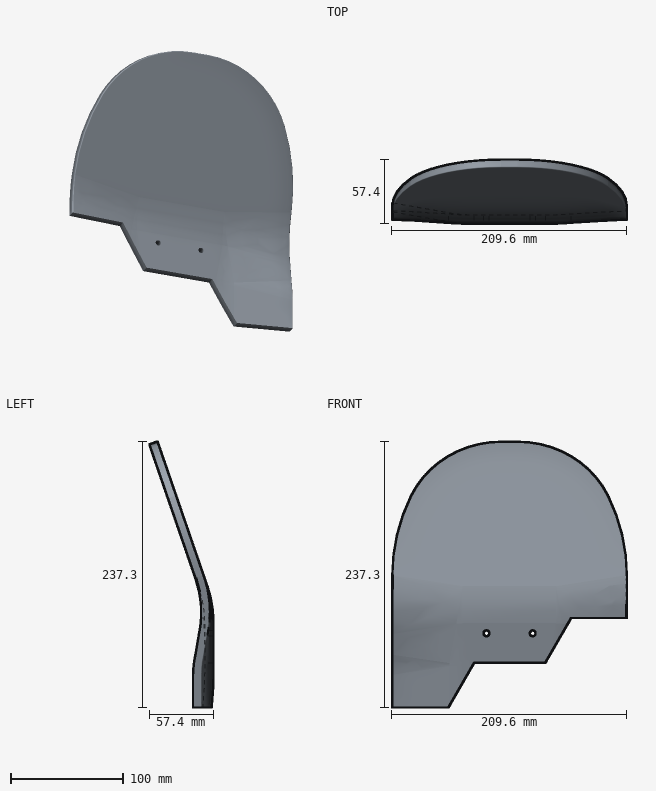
import cadquery as cq
import math


width = 209.55
height = 237.27
thickness = 7.9375
upper_tilt = math.radians(19)
wing_sweep = math.radians(10)
fold_height = 92.05
lower_fold_height = 38.1
wing_fold_x = 44.45
outer_bend = 101.6
inner_bend = outer_bend - thickness

dome_flat = 15.0
crown_radius = 88.9
shoulder_radius = 177.8
wing_bottom_width = 50.2
step_height = 39.9
mount_bottom_half = 31.9
right_bottom = 79.8
cut_angle = math.radians(60)
edge_radius = 0.8

hole_diameter = 5.0
hole_spacing = 41.275
hole_height = 66.3

half_width = width / 2
overhang = 20.0
sheet_half_width = half_width + overhang / 2
sheet_top = height + overhang
sheet_bottom = -overhang
cut_reach = 400.0
through_edge_margin = 0.3


def mirrored(point):
    """Reflect a point across the YZ plane."""
    return cq.Vector(-point.x, point.y, point.z)


def line(start, end):
    return cq.Edge.makeLine(start, end)


def flat_face(points):
    """Planar face through a closed loop of points."""
    return cq.Face.makeFromWires(cq.Wire.makePolygon(points, close=True))


class Skin:
    """One side of the sheet: its corner points, faces and outer rim (depth 0 is the front)."""

    def __init__(self, depth, convex_radius, concave_radius):
        self.depth = depth
        self.convex_radius = convex_radius
        self.concave_radius = concave_radius
        self.fold_z = fold_height - depth * math.tan(upper_tilt / 2)
        self.fold_x = wing_fold_x - depth * math.tan(wing_sweep / 2)
        self.wing_drop = self.fold_z - lower_fold_height
        self.faces = []
        self.rim = []
        self.add_points()
        self.add_center()
        self.add_side(lambda point: point)
        self.add_side(mirrored)

    def upper_y(self, z):
        return self.depth + (z - self.fold_z) * math.tan(upper_tilt)

    def setback(self, x):
        """How far the lower wing panel lies behind the mounting panel."""
        return max(x - self.fold_x, 0) * math.tan(wing_sweep)

    def slope(self, x):
        """Lean of the sloping wing, which grows towards the tip."""
        return math.atan(self.setback(x) / self.wing_drop)

    def upper_bend(self, x):
        """Upper and lower ends of the bend below the upper panel."""
        lean = self.slope(x)
        reach = self.convex_radius * math.tan((upper_tilt + lean) / 2)
        above_z = self.fold_z + reach * math.cos(upper_tilt)
        above = cq.Vector(x, self.upper_y(above_z), above_z)
        below = cq.Vector(x, self.depth + reach * math.sin(lean), self.fold_z - reach * math.cos(lean))
        return above, below

    def lower_bend(self, x):
        """Upper and lower ends of the bend above the lower wing panel."""
        lean = self.slope(x)
        reach = self.concave_radius * math.tan(lean / 2)
        y = self.depth + self.setback(x)
        above = cq.Vector(x, y - reach * math.sin(lean), lower_fold_height + reach * math.cos(lean))
        below = cq.Vector(x, y, lower_fold_height - reach)
        return above, below

    def wing_bottom(self, x):
        return cq.Vector(x, self.depth + self.setback(x), sheet_bottom)

    def add_points(self):
        """Lay out columns of points, listed from the upper panel down."""
        flat_top = self.upper_bend(0)[1].z
        narrow_sweep = math.atan(math.tan(wing_sweep) * (self.fold_z - flat_top) / self.wing_drop)
        narrow_reach = self.convex_radius * math.tan(narrow_sweep / 2)
        wide_reach = self.convex_radius * math.tan(wing_sweep / 2)
        upper_x = self.fold_x - narrow_reach
        lower_x = self.fold_x - wide_reach
        root_x = self.fold_x + wide_reach

        tip_x = sheet_half_width
        apex, flat_corner = self.upper_bend(upper_x)
        self.tip = [*self.upper_bend(tip_x), *self.lower_bend(tip_x), self.wing_bottom(tip_x)]
        self.root = [
            apex,
            self.upper_bend(self.fold_x + narrow_reach)[1],
            *self.lower_bend(root_x),
            self.wing_bottom(root_x),
        ]
        lower_z = self.root[3].z
        wing_line_slope = (self.tip[2].z - self.root[2].z) / (tip_x - root_x)
        upper_z = self.root[2].z + wing_line_slope * (root_x - lower_x)
        self.mount = [
            apex,
            flat_corner,
            cq.Vector(lower_x, self.depth, upper_z),
            cq.Vector(lower_x, self.depth, lower_z),
            cq.Vector(lower_x, self.depth, sheet_bottom),
        ]
        self.top_corner = cq.Vector(tip_x, self.upper_y(sheet_top), sheet_top)

    def bend_curve(self, above, below):
        """Arc leaving the upper panel and ending on the sheet below it."""
        drop = above.z - below.z
        lead = cq.Vector(below.x - above.x, -drop * math.tan(upper_tilt), -drop)
        return cq.Edge.makeTangentArc(above, lead, below)

    def add_center(self):
        """Upper panel, mounting panel and the bend between them."""
        left_mount = [mirrored(point) for point in self.mount]
        self.faces.append(
            flat_face(
                [
                    self.top_corner,
                    self.tip[0],
                    self.mount[0],
                    left_mount[0],
                    mirrored(self.tip[0]),
                    mirrored(self.top_corner),
                ]
            )
        )
        self.faces.append(
            cq.Face.makeRuledSurface(
                self.bend_curve(*self.mount[:2]),
                self.bend_curve(*left_mount[:2]),
            )
        )
        self.faces.append(flat_face(self.mount[1:] + left_mount[:0:-1]))
        self.rim.append(line(self.top_corner, mirrored(self.top_corner)))
        self.rim.append(line(self.mount[-1], left_mount[-1]))

    def add_side(self, place):
        """One wing, with its bend to the mounting panel; place puts points on that side."""
        tip = [place(point) for point in self.tip]
        root = [place(point) for point in self.root]
        mount = [place(point) for point in self.mount]

        def column(points, lower_curve):
            return [
                self.bend_curve(points[0], points[1]),
                line(points[1], points[2]),
                lower_curve,
                line(points[3], points[4]),
            ]

        tip_arc = cq.Edge.makeTangentArc(tip[3], cq.Vector(0, 0, 1), tip[2])
        tip_edges = column(tip, tip_arc)
        root_edges = column(root, line(root[3], root[2]))
        for tip_edge, root_edge in zip(tip_edges, root_edges):
            self.faces.append(cq.Face.makeRuledSurface(tip_edge, root_edge))

        self.faces.append(cq.Face.makeRuledSurface(root_edges[0], self.bend_curve(*mount[:2])))
        rungs = [line(mount[1], root[1])]
        for flat_end, wing_end in zip(mount[2:], root[2:]):
            lead = cq.Vector(wing_end.x - flat_end.x, 0, wing_end.z - flat_end.z)
            rungs.append(cq.Edge.makeTangentArc(flat_end, lead, wing_end))
        for upper_rung, lower_rung in zip(rungs, rungs[1:]):
            self.faces.append(cq.Face.makeRuledSurface(upper_rung, lower_rung))

        self.rim.append(line(place(self.top_corner), tip[0]))
        self.rim.extend(tip_edges)
        self.rim.append(line(tip[-1], root[-1]))
        self.rim.append(rungs[-1])


def bent_sheet():
    """Untrimmed sheet: front and back skins closed along their rims."""
    front = Skin(0, outer_bend, inner_bend)
    back = Skin(thickness, inner_bend, outer_bend)
    rim_faces = [cq.Face.makeRuledSurface(*edges) for edges in zip(front.rim, back.rim)]
    shell = cq.Shell.makeShell(front.faces + back.faces + rim_faces)
    return cq.Workplane(obj=cq.Solid.makeSolid(shell))


def mirror_u(point):
    return (-point[0], point[1])


def dome_blank():
    """Dome outline cut square to the upper panel."""
    rounding_loss = edge_radius * (math.sin(upper_tilt) + math.cos(upper_tilt) - 1)
    crown_v = (height + rounding_loss - fold_height) / math.cos(upper_tilt)
    crown_center = (dome_flat / 2, crown_v - crown_radius)
    shoulder_u = half_width - shoulder_radius
    radius_step = shoulder_radius - crown_radius
    turn = math.asin((crown_center[0] - shoulder_u) / radius_step)
    shoulder_v = crown_center[1] - radius_step * math.cos(turn)

    def crown_point(angle):
        return (
            crown_center[0] + crown_radius * math.sin(angle),
            crown_center[1] + crown_radius * math.cos(angle),
        )

    def shoulder_point(angle):
        return (
            shoulder_u + shoulder_radius * math.sin(angle),
            shoulder_v + shoulder_radius * math.cos(angle),
        )

    crown_middle = crown_point(turn / 2)
    crown_end = crown_point(turn)
    shoulder_middle = shoulder_point((turn + math.pi / 2) / 2)
    panel = cq.Plane(
        origin=(0, 0, fold_height),
        xDir=(1, 0, 0),
        normal=(0, -math.cos(upper_tilt), math.sin(upper_tilt)),
    )
    outline = (
        cq.Workplane(panel)
        .moveTo(0, -cut_reach)
        .lineTo(half_width, -cut_reach)
        .lineTo(half_width, shoulder_v)
        .threePointArc(shoulder_middle, crown_end)
        .threePointArc(crown_middle, (crown_center[0], crown_v))
        .lineTo(-crown_center[0], crown_v)
        .threePointArc(mirror_u(crown_middle), mirror_u(crown_end))
        .threePointArc(mirror_u(shoulder_middle), (-half_width, shoulder_v))
        .lineTo(-half_width, -cut_reach)
        .close()
    )
    return outline.extrude(cut_reach, both=True)


def stepped_blank():
    """Stepped lower outline, cut straight through along Y."""
    left_cut = step_height / math.tan(cut_angle)
    right_cut = (right_bottom - step_height) / math.tan(cut_angle)
    wing_corner_x = wing_bottom_width - half_width
    outline = [
        (-half_width, 0),
        (wing_corner_x, 0),
        (wing_corner_x + left_cut, step_height),
        (mount_bottom_half, step_height),
        (mount_bottom_half + right_cut, right_bottom),
        (half_width, right_bottom),
        (half_width, sheet_top),
        (-half_width, sheet_top),
    ]
    return cq.Workplane("XZ").polyline(outline).close().extrude(cut_reach, both=True)


def mounting_holes():
    half = hole_spacing / 2
    return (
        cq.Workplane("XZ")
        .pushPoints([(-half, hole_height), (half, hole_height)])
        .circle(hole_diameter / 2)
        .extrude(cut_reach, both=True)
    )


def round_rim(part):
    """Round the front and back edges of the dome and the straight sides."""
    rim_edges = part.faces("<X or >X or >Z or %CYLINDER").edges().vals()
    long_edges = [edge for edge in rim_edges if abs(edge.Length() - thickness) > through_edge_margin]
    return part.newObject(long_edges).fillet(edge_radius)


trimmed = bent_sheet().intersect(dome_blank()).intersect(stepped_blank())
result = cq.Workplane(obj=round_rim(trimmed).cut(mounting_holes()).solids().val())